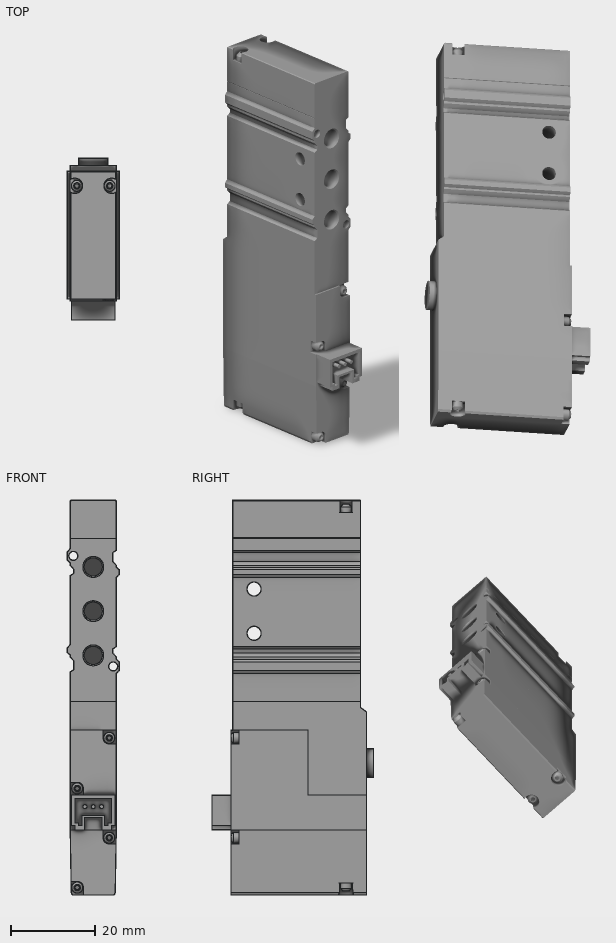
import cadquery as cq

height = 93.8
half_width = 5.5
valve_depth = 30.4
cap_base_z = 84.7
valve_base_z = 46.0
pilot_top_z = 39.2
pilot_leg_z = 23.7
base_top_z = 15.5
pilot_front_y = -0.5
rear_y = 31.8
cap_edge_bevel = 0.2

port_pitch = 10.5
port_mid_z = 67.4
port_radius = 2.2
port_rim_radius = 2.49
port_rim_depth = 0.4
port_depth = 9.4
rail_half_width = 6.2
groove_half_width = 4.64
rail_hole_radius = 1.0
rail_hole_x = 4.74
rail_hole_z = 80.6
mount_hole_radius = 1.64
mount_hole_y = 5.1

shoulder_top_z = 44.6
shoulder_height = 1.0
pilot_rear_y = 17.8

button_radius = 3.5
button_height = 1.7
button_z = 31.3

base_bottom_half_width = 5.25
base_edge_width = 0.3
base_edge_height = 0.6

head_radius = 1.3
head_cylinder = 1.3
head_cone = 0.7
head_top_radius = 0.75
socket_across_corners = 1.1
socket_depth = 0.75
head_height = head_cylinder + head_cone
end_recess_depth = 2.9
end_screw_x = 3.89
end_recess_x = 4.36
end_recess_radius = 1.83
end_screw_y = 26.9
front_screw_x = 3.8
front_recess_radius = 1.45
front_screw_floor_y = pilot_front_y + head_height
right_screw_drop = 1.9
pilot_left_screw_rise = 1.6
base_left_screw_z = 1.8

connector_half_width = 5.21
connector_front_y = -5.0
connector_wall = 0.8
connector_wall_base_z = 16.5
connector_corner_z = 17.1
connector_corner_width = 0.8
key_half_width = 2.67
key_top_z = 18.95
key_wall = 0.6
pin_radius = 0.5
pin_pitch = 2.0
pin_z = 21.0
pin_setback = 0.2
cavity_half_width = connector_half_width - connector_wall


def block(x_range, y_range, z_range):
    """Box between two X, two Y and two Z limits."""
    size = [high - low for low, high in (x_range, y_range, z_range)]
    corner = (x_range[0], y_range[0], z_range[0])
    return cq.Workplane("XY").box(*size, centered=False).translate(corner)


def centred_block(half, y_range, z_range):
    """Box that is symmetric about the middle plane."""
    return block((-half, half), y_range, z_range)


def rod(radius, x, z, y_start, y_end):
    """Cylinder along +Y."""
    start = cq.Vector(x, y_start, z)
    return cq.Workplane(cq.Solid.makeCylinder(radius, y_end - y_start, start, cq.Vector(0, 1, 0)))


def screw_head():
    """Cone-topped screw head standing on the XY plane, with a hexagon socket."""
    profile = [
        (0, 0),
        (head_radius, 0),
        (head_radius, head_cylinder),
        (head_top_radius, head_height),
        (0, head_height),
    ]
    head = cq.Workplane("XZ").polyline(profile).close().revolve(360, (0, 0), (0, 1))
    return head.faces(">Z").workplane().polygon(6, socket_across_corners).cutBlind(-socket_depth)


def add_end_screw(body, side, end_z, inward):
    """Screw in a side-open recess of a body's top or bottom end; inward is the Z sense into the body."""
    x = side * end_screw_x
    floor_z = end_z + inward * end_recess_depth
    low_z = min(end_z, floor_z)
    recess = cq.Workplane("XY", origin=(side * end_recess_x, end_screw_y, low_z)).circle(end_recess_radius)
    recess = recess.extrude(end_recess_depth)
    head = screw_head()
    if inward > 0:
        head = head.rotate((0, 0, 0), (1, 0, 0), 180)
    return body.cut(recess).union(head.translate((x, end_screw_y, floor_z)))


def add_front_screw(body, side, z, edge_z):
    """Screw in a front recess that opens to the body's side and runs up or down to edge_z."""
    x = side * front_screw_x
    outside_x = side * (half_width + front_recess_radius)
    y_range = (pilot_front_y, front_screw_floor_y)
    vertical_sense = 1 if edge_z > z else -1
    inner_x = x - side * front_recess_radius
    far_z = z - vertical_sense * front_recess_radius
    recess = rod(front_recess_radius, x, z, *y_range)
    side_opening = block(sorted((x, outside_x)), y_range, sorted((far_z, edge_z)))
    edge_opening = block(sorted((inner_x, outside_x)), y_range, sorted((z, edge_z)))
    head = screw_head().rotate((0, 0, 0), (1, 0, 0), 90).translate((x, front_screw_floor_y, z))
    return body.cut(recess).cut(side_opening).cut(edge_opening).union(head)


def make_cap():
    cap = centred_block(half_width, (0, valve_depth), (cap_base_z, height))
    cap = cap.faces("<Z").edges("|Y").chamfer(cap_edge_bevel)
    cap = cap.faces(">Z").edges("|Y or >Y").chamfer(cap_edge_bevel)
    for side in (-1, 1):
        cap = add_end_screw(cap, side, height, -1)
    return cap


def make_valve_body():
    left_side = [
        (-half_width, cap_base_z),
        (-half_width, 82.3),
        (-rail_half_width, 81.5),
        (-rail_half_width, 79.5),
        (-half_width, 78.9),
        (-half_width, 78.3),
        (-groove_half_width, 77.4),
        (-groove_half_width, 76.45),
        (-half_width, 75.9),
        (-half_width, 59.5),
        (-rail_half_width, 58.7),
        (-rail_half_width, 57.6),
        (-half_width, 57.0),
        (-half_width, 56.6),
        (-groove_half_width, 55.6),
        (-groove_half_width, 53.6),
        (-half_width, 53.0),
        (-half_width, valve_base_z),
    ]
    right_side = [(-x, 2 * port_mid_z - z) for x, z in left_side[1:-1]]
    corners = [(half_width, valve_base_z), *right_side, (half_width, cap_base_z)]
    body = cq.Workplane("XZ").polyline(left_side + corners).close().extrude(-valve_depth)

    for step in (-1, 0, 1):
        z = port_mid_z + step * port_pitch
        body = body.cut(rod(port_radius, 0, z, 0, port_depth))
        rim = cq.Solid.makeCone(
            port_rim_radius, port_radius, port_rim_depth, cq.Vector(0, 0, z), cq.Vector(0, 1, 0)
        )
        body = body.cut(cq.Workplane(rim))

    for side in (-1, 1):
        rail_z = port_mid_z - side * (rail_hole_z - port_mid_z)
        body = body.cut(rod(rail_hole_radius, side * rail_hole_x, rail_z, 0, valve_depth))
        mount_z = port_mid_z + side * port_pitch / 2
        mount_hole = cq.Workplane("YZ", origin=(0, mount_hole_y, mount_z)).circle(mount_hole_radius)
        body = body.cut(mount_hole.extrude(rail_half_width, both=True))
    return body


def make_adapter():
    outline = [
        (0, valve_base_z),
        (0, pilot_top_z),
        (pilot_rear_y, pilot_top_z),
        (pilot_rear_y, pilot_leg_z),
        (rear_y, pilot_leg_z),
        (rear_y, shoulder_top_z - shoulder_height),
        (valve_depth, shoulder_top_z),
        (valve_depth, valve_base_z),
    ]
    return cq.Workplane("YZ").polyline(outline).close().extrude(half_width, both=True)


def make_button():
    return rod(button_radius, 0, button_z, rear_y, rear_y + button_height)


def make_connector():
    """Open-fronted plug socket with a hollow key on its floor and a row of pins."""
    y_range = (connector_front_y, pilot_front_y)
    shell = centred_block(connector_half_width, y_range, (connector_wall_base_z, pilot_leg_z))
    floor = centred_block(cavity_half_width, y_range, (base_top_z, connector_wall_base_z))
    cavity_top_z = pilot_leg_z - connector_wall
    cavity = centred_block(cavity_half_width, y_range, (connector_wall_base_z, cavity_top_z))
    connector = shell.cut(cavity).union(floor)

    for side in (-1, 1):
        corner_x = sorted((side * cavity_half_width, side * (cavity_half_width - connector_corner_width)))
        connector = connector.union(block(corner_x, y_range, (base_top_z, connector_corner_z)))

    key = centred_block(key_half_width, y_range, (base_top_z, key_top_z))
    key_channel = centred_block(key_half_width - key_wall, y_range, (base_top_z, key_top_z - key_wall))
    connector = connector.union(key).cut(key_channel)

    for step in (-1, 0, 1):
        pin = rod(pin_radius, step * pin_pitch, pin_z, connector_front_y + pin_setback, pilot_front_y)
        connector = connector.union(pin)
    return connector


def make_pilot_housing():
    outline = [
        (pilot_front_y, pilot_top_z),
        (pilot_rear_y, pilot_top_z),
        (pilot_rear_y, pilot_leg_z),
        (rear_y, pilot_leg_z),
        (rear_y, base_top_z),
        (pilot_front_y, base_top_z),
    ]
    housing = cq.Workplane("YZ").polyline(outline).close().extrude(half_width, both=True)
    housing = add_front_screw(housing, 1, pilot_top_z - right_screw_drop, pilot_top_z)
    housing = add_front_screw(housing, -1, pilot_leg_z + pilot_left_screw_rise, pilot_leg_z)
    return housing.union(make_connector())


def make_base():
    """Block that narrows slightly downwards, with bevelled bottom edges."""
    outline = [
        (-half_width, base_top_z),
        (-base_bottom_half_width, base_edge_height),
        (-base_bottom_half_width + base_edge_width, 0),
        (base_bottom_half_width - base_edge_width, 0),
        (base_bottom_half_width, base_edge_height),
        (half_width, base_top_z),
    ]
    base = cq.Workplane("XZ", origin=(0, pilot_front_y, 0)).polyline(outline).close()
    base = base.extrude(pilot_front_y - rear_y)
    base = add_front_screw(base, 1, base_top_z - right_screw_drop, base_top_z)
    base = add_front_screw(base, -1, base_left_screw_z, 0)
    for side in (-1, 1):
        base = add_end_screw(base, side, 0, 1)
    return base


cap = make_cap()
valve_body = make_valve_body()
adapter = make_adapter()
button = make_button()
pilot_housing = make_pilot_housing()
base = make_base()

bodies = [cap, valve_body, adapter, button, pilot_housing, base]
result = cq.Compound.makeCompound([body.val() for body in bodies])